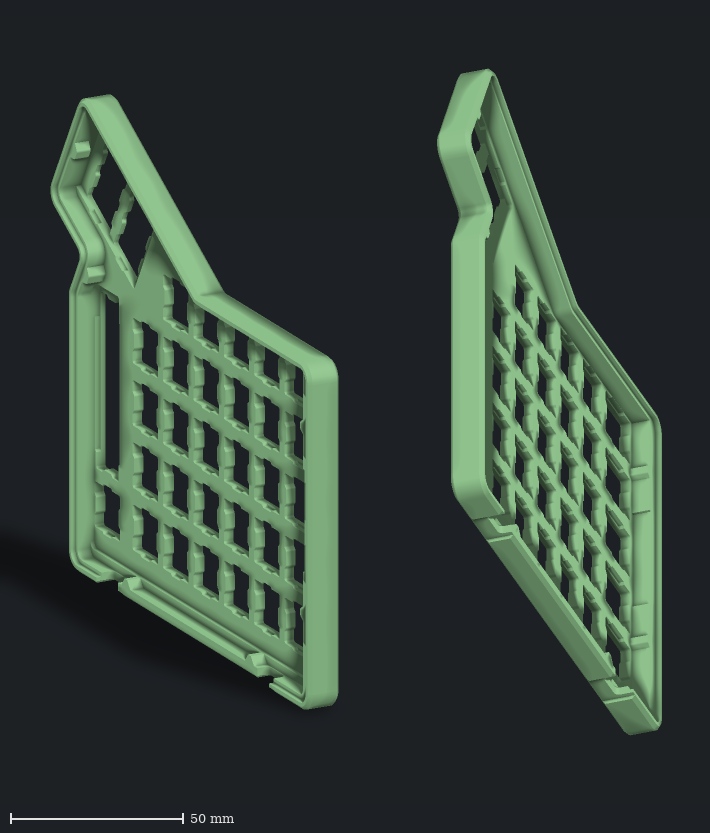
import cadquery as cq
import math


depth = 10.2
ledge_y = 1.6
notch_floor_y = 5.4
step_y = 5.85
plate_y = 7.1
clip_floor_y = depth - 1.5

body_left = -70.1
body_right = 81.64
body_bottom = -73.065
body_top = 33.75
corner_radius = 6.0
inner_corner_radius = 2.0
edge_chamfer = 1.1

cluster_origin = (-54.95, 44.95)
cluster_tilt = -30.0
cluster_left = -21.03
cluster_top = 22.87
cluster_bottom = -21.33
cluster_neck = 3.4

lip_inset = 2 * edge_chamfer
wall = 3.5
cavity_right = 74.65
cavity_bottom = body_bottom + wall
plate_bottom = -67.1
cavity_corner_radius = 2.0

pitch = 19.05
switch_size = 14.0
side_recess = 0.95
grip_root = 6.4
grip_tip = 4.8
cutout_corner_radius = 0.8
clip_depth = 0.7
clip_root = 6.0
clip_tip = 4.6

wide_key = 1.25
first_column_x = -34.67
column_count = 5
wide_column_x = first_column_x + (column_count - 1 + (1 + wide_key) / 2) * pitch
outer_column_x = first_column_x - wide_key * pitch
bottom_row_z = -53.75
row_count = 5
middle_row_z = bottom_row_z + 2 * pitch
tall_key = 3
cluster_key_u = -5.2
cluster_key_v = 0.74
cluster_key_height = 2
cluster_key_count = 2

cluster_recess_right = 24.4
tall_recess_top = 14.0
tall_recess_half_width = 7.4
recess_corner_radius = 1.2

bump_tip_ratio = 0.5
bump_tip_radius = 0.8
side_bump_size = (4.4, 1.7)
cluster_bump_size = (6.0, 2.4)
neck_bump_v = -26.7
relief_depth = 1.0
relief_bottom = -31.5
relief_top = 0.0

clip_center_x = 2.4
stop_offset = 38.75
stop_root = 5.6
stop_tip = 1.8
notch_offset = 48.85
notch_width = 10.3
notch_mouth_width = 13.8
notch_fillet = 1.5

overlap = 1.0


def prism(outline, y_start, y_end):
    """Extrude a closed XZ sketch from y_start to y_end."""
    return outline.extrude(y_start - y_end).translate((0, y_start, 0))


def polygon(points):
    return cq.Workplane("XZ").polyline(points).close()


def box(x_range, y_range, z_range):
    (x0, x1), (z0, z1) = x_range, z_range
    return prism(polygon([(x0, z0), (x1, z0), (x1, z1), (x0, z1)]), *y_range)


def from_cluster(u, v):
    """Body coordinates of a point given in the cluster frame."""
    tilt = math.radians(cluster_tilt)
    x = cluster_origin[0] + u * math.cos(tilt) - v * math.sin(tilt)
    z = cluster_origin[1] + u * math.sin(tilt) + v * math.cos(tilt)
    return x, z


def place(shape, position, angle=0):
    """Turn a shape in the XZ plane (counterclockwise seen from -Y) and move it."""
    turned = shape.rotate((0, 0, 0), (0, -1, 0), angle)
    return turned.translate((position[0], 0, position[1]))


def tapered_tab(root, tip, height):
    """Trapezoid outline standing on Z = 0, its root carried a little below."""
    return polygon([
        (-root / 2, -overlap),
        (root / 2, -overlap),
        (root / 2, 0),
        (tip / 2, height),
        (-tip / 2, height),
        (-root / 2, 0),
    ])


def outline_points():
    """All corners of the outline, and the inward ones among them."""
    cluster_low = from_cluster(cluster_left, cluster_bottom)
    cluster_high = from_cluster(cluster_left, cluster_top)
    neck = from_cluster(cluster_neck, cluster_bottom)
    tilt = math.radians(-cluster_tilt)
    shoulder_z = neck[1] - (neck[0] - body_left) / math.tan(tilt)
    valley_x = cluster_high[0] + (cluster_high[1] - body_top) / math.tan(tilt)
    lower_left = (body_left, body_bottom)
    lower_right = (body_right, body_bottom)
    upper_right = (body_right, body_top)
    valley = (valley_x, body_top)
    shoulder = (body_left, shoulder_z)
    outline = [lower_left, lower_right, upper_right, valley, cluster_high, cluster_low, neck, shoulder]
    return outline, [valley, neck]


def edges_at(solid, points):
    """Y-direction edges of a prism that pass through the given XZ points."""
    near = 0.01
    found = solid.newObject([])
    for x, z in points:
        lowest = (x - near, -near, z - near)
        highest = (x + near, depth + near, z + near)
        found = found.add(solid.edges("|Y").edges(cq.selectors.BoxSelector(lowest, highest)))
    return found


def make_blank():
    outline, concave = outline_points()
    convex = [corner for corner in outline if corner not in concave]
    blank = prism(polygon(outline), 0, depth)
    blank = edges_at(blank, convex).fillet(corner_radius)
    return edges_at(blank, concave).fillet(inner_corner_radius)


def inset_prism(blank, inset, y_start, y_end):
    """Prism of the outer outline moved inward by inset."""
    rim = blank.faces("<Y").wires().val()
    return prism(cq.Workplane("XZ").add(rim).toPending().offset2D(-inset), y_start, y_end)


def make_cavity(blank, bottom, floor_y):
    """Hollow inside the rim down to floor_y, ending at the given bottom edge."""
    lower = box((body_left + wall, cavity_right), (-overlap, floor_y), (bottom, middle_row_z))
    lower = lower.edges("|Y and <Z").fillet(cavity_corner_radius)
    far_left = cluster_origin[0] + cluster_left - pitch
    far_top = cluster_origin[1] + cluster_top + pitch
    upper = box((far_left, cavity_right), (-overlap, floor_y), (middle_row_z, far_top))
    return inset_prism(blank, wall, -overlap, floor_y).intersect(lower.union(upper))


def switch_cutout(units_wide=1, units_high=1):
    """Through opening with side grips, plus clip pockets above and below it."""
    extra_width = (units_wide - 1) * pitch
    extra_height = (units_high - 1) * pitch
    half_width = (switch_size + extra_width) / 2 + side_recess
    half_height = (switch_size + extra_height) / 2
    y_end = depth + overlap
    opening = box((-half_width, half_width), (plate_y - overlap, y_end), (-half_height, half_height))

    grip = prism(tapered_tab(grip_root, grip_tip, side_recess), plate_y - overlap, y_end)
    grip_count = 2 * units_high - 1
    for index in range(grip_count):
        z = (index - (grip_count - 1) / 2) * pitch / 2
        opening = opening.cut(place(grip, (half_width, z), 90))
        opening = opening.cut(place(grip, (-half_width, z), -90))
    opening = opening.edges("|Y").fillet(cutout_corner_radius)

    clip_tab = tapered_tab(clip_root + extra_width, clip_tip + extra_width, clip_depth)
    clip = prism(clip_tab, plate_y - overlap, clip_floor_y)
    opening = opening.union(place(clip, (0, half_height)))
    return opening.union(place(clip, (0, -half_height), 180))


def cut_switches(part):
    key = switch_cutout()
    wide = switch_cutout(wide_key)
    cutouts = [
        place(key, (outer_column_x, bottom_row_z)),
        place(switch_cutout(tall_key), (outer_column_x, middle_row_z), 90),
    ]
    for row in range(row_count):
        z = bottom_row_z + row * pitch
        first = 1 if row == row_count - 1 else 0
        for column in range(first, column_count):
            cutouts.append(place(key, (first_column_x + column * pitch, z)))
        cutouts.append(place(wide, (wide_column_x, z)))

    cluster_cutout = switch_cutout(1, cluster_key_height)
    for index in range(cluster_key_count):
        position = from_cluster(cluster_key_u + index * pitch, cluster_key_v)
        cutouts.append(place(cluster_cutout, position, cluster_tilt))
    tools = cq.Compound.makeCompound([cutout.val() for cutout in cutouts])
    return part.cut(cq.Workplane(tools))


def cut_recesses(part):
    """Thin the plate around the cluster keys and above the tall key."""
    y_range = (plate_y - overlap, clip_floor_y)
    half_height = (switch_size + (cluster_key_height - 1) * pitch) / 2
    cluster_recess = box(
        (cluster_left + wall, cluster_recess_right),
        y_range,
        (cluster_key_v - half_height, cluster_key_v + half_height),
    )
    cluster_recess = cluster_recess.edges("|Y and >X").fillet(recess_corner_radius)
    part = part.cut(place(cluster_recess, cluster_origin, cluster_tilt))
    tall_recess = box(
        (body_left + wall, outer_column_x + tall_recess_half_width),
        y_range,
        (middle_row_z + pitch, tall_recess_top),
    )
    return part.cut(tall_recess.edges("|Y and >X and >Z").fillet(recess_corner_radius))


def wall_bump(size):
    root, height = size
    bump = prism(tapered_tab(root, root * bump_tip_ratio, height), ledge_y, plate_y + overlap)
    return bump.edges("|Y and >Z").fillet(bump_tip_radius)


def add_wall_bumps(part):
    side_bump = wall_bump(side_bump_size)
    for row in (0, row_count - 2):
        z = bottom_row_z + (row + 0.5) * pitch
        part = part.union(place(side_bump, (cavity_right, z), 90))
    cluster_bump = wall_bump(cluster_bump_size)
    for u, v in ((cluster_left, cluster_key_v), (cluster_neck, neck_bump_v)):
        part = part.union(place(cluster_bump, from_cluster(u + wall, v), cluster_tilt - 90))
    return part


def cut_side_relief(part):
    relief = box(
        (cavity_right - overlap, cavity_right + relief_depth),
        (0, plate_y),
        (relief_bottom, relief_top),
    )
    return part.cut(relief)


def add_stops(part):
    stop = prism(tapered_tab(stop_root, stop_tip, plate_bottom - cavity_bottom), ledge_y, step_y + overlap)
    for side in (-1, 1):
        part = part.union(place(stop, (clip_center_x + side * stop_offset, cavity_bottom)))
    return part


def cut_open_bottom_lip(part):
    """Between the notches the lip is missing and the ledge edge is chamfered."""
    profile = [
        (-overlap, cavity_bottom),
        (ledge_y, cavity_bottom),
        (ledge_y, body_bottom + edge_chamfer),
        (ledge_y + edge_chamfer, body_bottom),
        (ledge_y + edge_chamfer, body_bottom - overlap),
        (-overlap, body_bottom - overlap),
    ]
    start_x = clip_center_x - notch_offset
    lip_gap = cq.Workplane("YZ").polyline(profile).close().extrude(2 * notch_offset)
    return part.cut(lip_gap.translate((start_x, 0, 0)))


def cut_notches(part):
    for side in (-1, 1):
        x = clip_center_x + side * notch_offset
        notch = box(
            (x - notch_width / 2, x + notch_width / 2),
            (-overlap, notch_floor_y),
            (body_bottom - overlap, cavity_bottom),
        )
        notch = notch.edges("|Z and >Y").fillet(notch_fillet)
        mouth = box(
            (x - notch_mouth_width / 2, x + notch_mouth_width / 2),
            (-overlap, depth + overlap),
            (body_bottom - overlap, body_bottom + edge_chamfer),
        )
        part = part.cut(notch).cut(mouth)
    return part


blank = make_blank()
part = blank.faces("<Y or >Y").edges().chamfer(edge_chamfer)
part = part.cut(inset_prism(blank, lip_inset, -overlap, ledge_y))
part = part.cut(make_cavity(blank, cavity_bottom, step_y))
part = part.cut(make_cavity(blank, plate_bottom, plate_y))
part = cut_side_relief(part)
part = add_wall_bumps(part)
part = add_stops(part)
part = cut_open_bottom_lip(part)
part = cut_notches(part)
part = cut_recesses(part)
result = cut_switches(part)